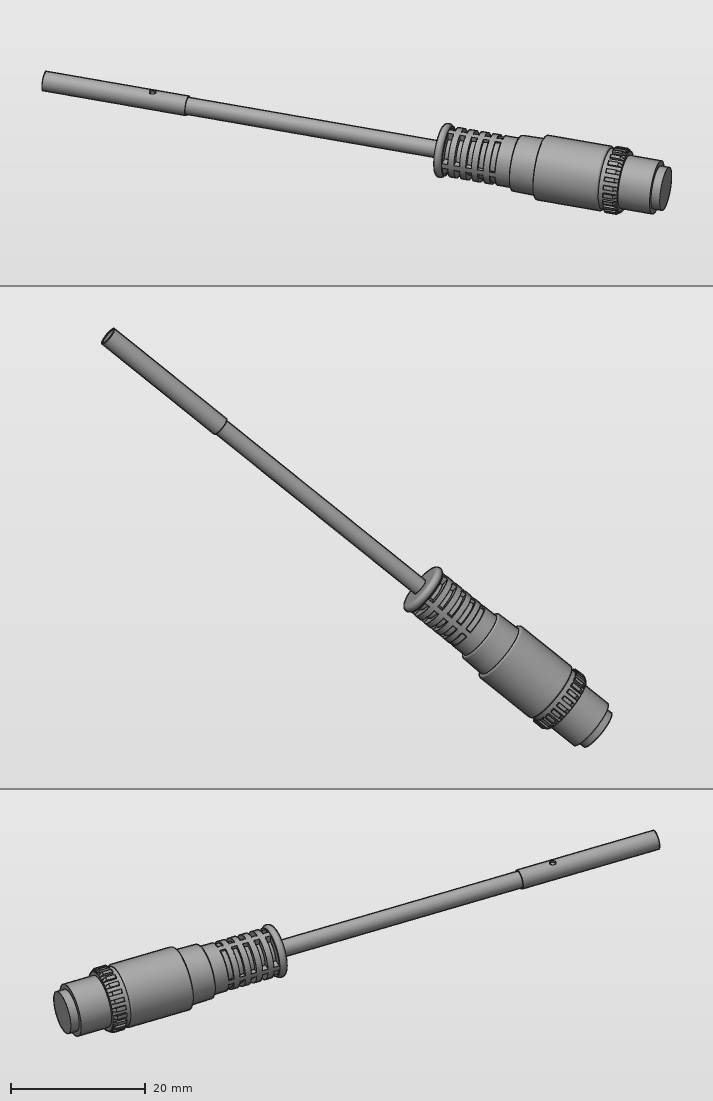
import cadquery as cq

LENGTH = 95.8
X_TIP = -LENGTH / 2
X_END = LENGTH / 2

SLEEVE_DIA = 3.0
SLEEVE_LENGTH = 22.0
TIP_RECESS_DIA = 2.6
TIP_RECESS_DEPTH = 0.1
CABLE_DIA = 2.6
WINDOW_DIA = 1.0
WINDOW_FROM_TIP = 16.7
WINDOW_DEPTH = 0.4

FLANGE_FROM_TIP = 61.0
FLANGE_DIA = 8.1
FLANGE_WIDTH = 1.2
GRIP_DIA = 7.5
SLOT_COUNT = 5
SLOT_WIDTH = 0.9
SLOT_PITCH = 1.8
SLOT_FLOOR_START_DIA = 5.0
SLOT_FLOOR_END_DIA = 7.1
FIRST_SLOT_OFFSET = 0.1
RIB_WIDTH = 0.9

SHOULDER_FROM_TIP = 72.8
SHOULDER_START_DIA = 8.4
SHOULDER_END_DIA = 8.6
SHOULDER_ROUND = 0.3

BODY_FROM_TIP = 76.6
BODY_LENGTH = 10.1
BODY_DIA = 9.8
BODY_ROUND = 0.3

RING_BASE_DIA = 9.2
NECK_WIDTH = 0.8
TOOTH_TIP_DIA = 10.0
TOOTH_COUNT = 24
RING_WIDTH = 2.1
TOOTH_SLOPE_LENGTH = 0.6
NOTCH_WIDTH = 0.7

PLUG_DIA = 8.0
NOSE_DIA = 6.5
NOSE_LENGTH = 1.3

FLANGE_X = X_TIP + FLANGE_FROM_TIP
GRIP_X = FLANGE_X + FLANGE_WIDTH
SHOULDER_X = X_TIP + SHOULDER_FROM_TIP
BODY_X = X_TIP + BODY_FROM_TIP
NECK_X = BODY_X + BODY_LENGTH
RING_X = NECK_X + NECK_WIDTH
PLUG_X = RING_X + RING_WIDTH
NOSE_X = X_END - NOSE_LENGTH


def rod(x_start, x_stop, diameter):
    """Cylinder on the X axis between two stations."""
    return cq.Workplane("YZ", origin=(x_start, 0, 0)).circle(diameter / 2).extrude(x_stop - x_start)


def cone(x_start, x_stop, start_diameter, end_diameter):
    """Truncated cone on the X axis between two stations."""
    return (
        cq.Workplane("YZ", origin=(x_start, 0, 0))
        .circle(start_diameter / 2)
        .workplane(offset=x_stop - x_start)
        .circle(end_diameter / 2)
        .loft(ruled=True)
    )


def sleeve_and_cable():
    """Sleeve with a shallow tip recess and a round window on top, then the cable."""
    sleeve = rod(X_TIP, X_TIP + SLEEVE_LENGTH, SLEEVE_DIA)
    tip_recess = rod(X_TIP, X_TIP + TIP_RECESS_DEPTH, TIP_RECESS_DIA)
    window = (
        cq.Workplane("XY", origin=(X_TIP + WINDOW_FROM_TIP, 0, SLEEVE_DIA / 2 - WINDOW_DEPTH))
        .circle(WINDOW_DIA / 2)
        .extrude(SLEEVE_DIA)
    )
    cable = rod(X_TIP + SLEEVE_LENGTH, FLANGE_X, CABLE_DIA)
    return sleeve.cut(tip_recess).cut(window).union(cable)


def grip_slots():
    """Rings of slots over a conical floor, interrupted by four lengthwise ribs."""
    first_x = GRIP_X + FIRST_SLOT_OFFSET
    last_x = first_x + (SLOT_COUNT - 1) * SLOT_PITCH
    slots = rod(first_x, first_x + SLOT_WIDTH, BODY_DIA)
    for i in range(1, SLOT_COUNT):
        x = first_x + i * SLOT_PITCH
        slots = slots.union(rod(x, x + SLOT_WIDTH, BODY_DIA))
    floor = cone(first_x, last_x + SLOT_WIDTH, SLOT_FLOOR_START_DIA, SLOT_FLOOR_END_DIA)
    upright_ribs = cq.Workplane("XY").box(LENGTH, RIB_WIDTH, BODY_DIA)
    level_ribs = cq.Workplane("XY").box(LENGTH, BODY_DIA, RIB_WIDTH)
    return slots.cut(floor).cut(upright_ribs).cut(level_ribs)


def rounded_flange():
    """Disc whose rim is a half-round of the full disc width."""
    rim_radius = FLANGE_WIDTH / 2
    face_radius = FLANGE_DIA / 2 - rim_radius
    return (
        cq.Workplane("XY")
        .moveTo(FLANGE_X, 0)
        .lineTo(FLANGE_X, face_radius)
        .threePointArc((FLANGE_X + rim_radius, FLANGE_DIA / 2), (GRIP_X, face_radius))
        .lineTo(GRIP_X, 0)
        .close()
        .revolve(360, (0, 0, 0), (1, 0, 0))
    )


def strain_relief():
    flange = rounded_flange()
    grip = rod(GRIP_X, SHOULDER_X, GRIP_DIA).cut(grip_slots())
    return flange.union(grip)


def shoulder():
    taper = cone(SHOULDER_X, BODY_X, SHOULDER_START_DIA, SHOULDER_END_DIA)
    return taper.faces("<X").edges().fillet(SHOULDER_ROUND)


def body():
    return rod(BODY_X, NECK_X, BODY_DIA).edges().fillet(BODY_ROUND)


def coupling_ring():
    """Plain base ring carrying teeth that slope down to it at the plug end."""
    base = rod(NECK_X, PLUG_X, RING_BASE_DIA)
    slope_x = PLUG_X - TOOTH_SLOPE_LENGTH
    slope = cone(slope_x, PLUG_X, TOOTH_TIP_DIA, RING_BASE_DIA)
    teeth = rod(RING_X, slope_x, TOOTH_TIP_DIA).union(slope)
    notch = cq.Workplane("XY").box(RING_WIDTH, NOTCH_WIDTH, TOOTH_TIP_DIA / 2, centered=(False, True, False))
    notch = notch.translate((RING_X, 0, 0))
    for i in range(TOOTH_COUNT):
        teeth = teeth.cut(notch.rotate((0, 0, 0), (1, 0, 0), i * 360 / TOOTH_COUNT))
    return base.union(teeth)


def plug():
    """Plain plug barrel with a smaller nose."""
    return rod(PLUG_X, NOSE_X, PLUG_DIA).union(rod(NOSE_X, X_END, NOSE_DIA))


result = sleeve_and_cable()
for section in (strain_relief(), shoulder(), body(), coupling_ring(), plug()):
    result = result.union(section)